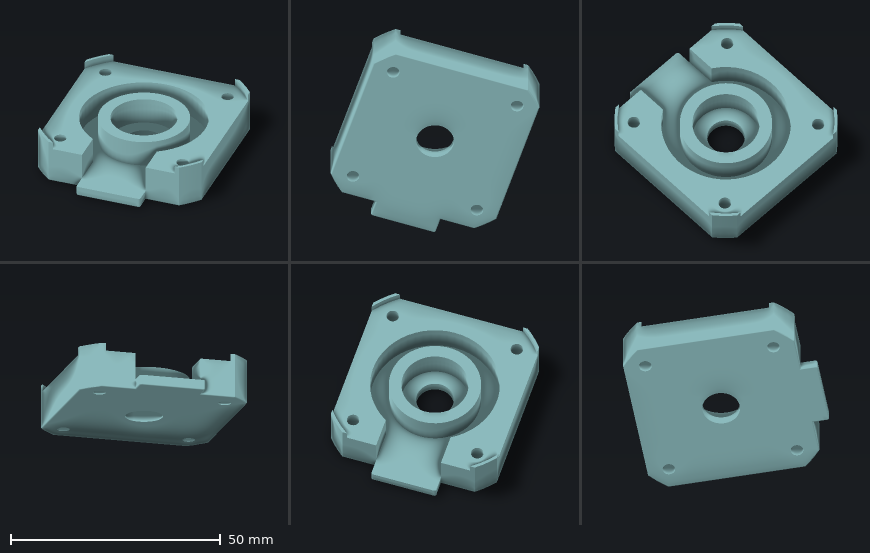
import cadquery as cq

body_side = 41.5
overall_height = 10.8
lip_height = 1.8
deck_height = overall_height - lip_height
corner_diameter = 53.1
lip_inner_diameter = 51.7

floor_thickness = 2.4
pocket_diameter = 30.95
hub_diameter = 22.0
bearing_diameter = 16.0
shaft_diameter = 9.0
overall_length = 45.5
tab_width = 16.2
tab_reach = overall_length - body_side / 2
tab_corner_radius = 0.5

hole_diameter = 3.0
hole_spacing = 31.05
bottom_radius = 0.3


def cylinder(diameter, bottom, top):
    """Upright cylinder on the bearing axis."""
    return cq.Workplane("XY").workplane(offset=bottom).circle(diameter / 2).extrude(top - bottom)


def tab_block(bottom, top):
    """Block of tab width running from the bearing axis to the end of the tab."""
    return (
        cq.Workplane("XY")
        .workplane(offset=bottom)
        .center(0, -tab_reach / 2)
        .rect(tab_width, tab_reach)
        .extrude(top - bottom)
    )


def make_body():
    """Square with round corners, cut down to the deck except for the corner lips."""
    square = cq.Workplane("XY").rect(body_side, body_side).extrude(overall_height)
    body = square.intersect(cylinder(corner_diameter, 0, overall_height))
    return body.cut(cylinder(lip_inner_diameter, deck_height, overall_height))


def make_tab():
    """Flat tab level with the pocket floor, with its two outer corners rounded."""
    return tab_block(0, floor_thickness).edges("|Z and <Y").fillet(tab_corner_radius)


result = make_body().union(make_tab()).faces("<Z").fillet(bottom_radius)

result = result.cut(cylinder(pocket_diameter, floor_thickness, overall_height))
result = result.cut(tab_block(floor_thickness, overall_height))

result = result.union(cylinder(hub_diameter, floor_thickness, deck_height))
result = result.cut(cylinder(bearing_diameter, floor_thickness, deck_height))
result = result.cut(cylinder(shaft_diameter, 0, floor_thickness))

mounting_holes = (
    cq.Workplane("XY")
    .rect(hole_spacing, hole_spacing, forConstruction=True)
    .vertices()
    .circle(hole_diameter / 2)
    .extrude(overall_height)
)
result = result.cut(mounting_holes)